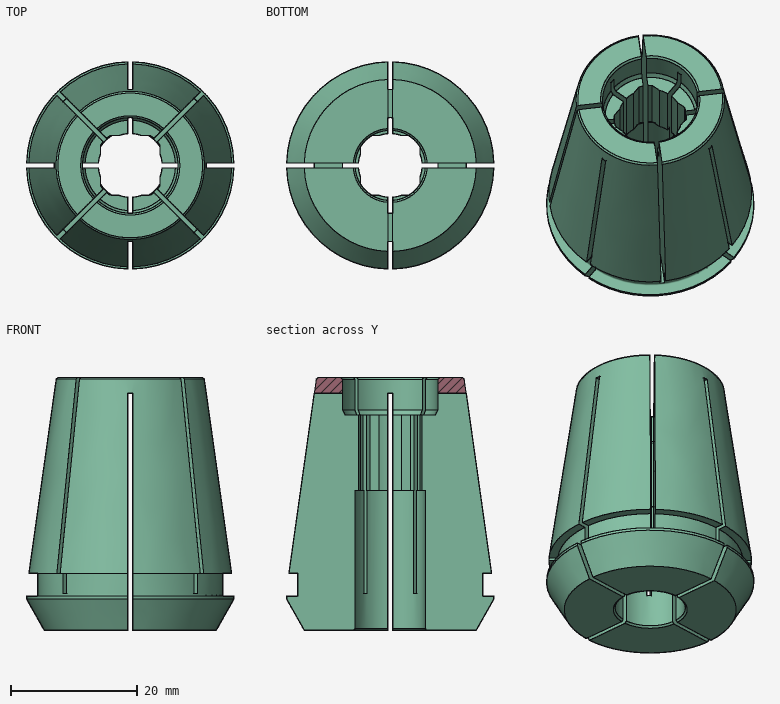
import cadquery as cq
import math

TOTAL_LENGTH = 40.0
COLLAR_RADIUS = 16.4
COLLAR_BEVEL_TOP = 4.95
BOTTOM_RADIUS = 13.6
COLLAR_TOP = 5.4
GROOVE_RADIUS = 14.65
GROOVE_TOP = 9.0
GROOVE_FILLET = 0.2
TAPER_LARGE_RADIUS = 16.05
TAPER_ANGLE = 8.0
TOP_CHAMFER = 0.25

MOUTH_CHAMFER = 0.3
SHANK_RADIUS = 5.55
RELIEF_RADIUS = 7.55
RELIEF_DEPTH = 5.9
RELIEF_FLOOR_RADIUS = 7.15
RELIEF_CONE_HEIGHT = 0.75

SQUARE_WIDTH = 9.4
SQUARE_LENGTH = 12.0
SQUARE_CORNER_RADIUS = 5.7
SQUARE_PILOT_RADIUS = 5.03

SLOT_WIDTH = 0.75
SLOT_END_WALL = 2.5
TOP_SLOT_FLOOR = 5.85

RELIEF_FLOOR = TOTAL_LENGTH - RELIEF_DEPTH
SQUARE_FLOOR = RELIEF_FLOOR - SQUARE_LENGTH
SLOT_CUT_LENGTH = 4 * COLLAR_RADIUS


def make_body():
    """Solid of revolution: bevelled collar, extraction groove and clamping taper."""
    taper_top_radius = TAPER_LARGE_RADIUS - (TOTAL_LENGTH - GROOVE_TOP) * math.tan(math.radians(TAPER_ANGLE))
    profile = (
        cq.Workplane("XZ")
        .moveTo(0, 0)
        .lineTo(BOTTOM_RADIUS, 0)
        .lineTo(COLLAR_RADIUS, COLLAR_BEVEL_TOP)
        .lineTo(COLLAR_RADIUS, COLLAR_TOP)
        .lineTo(GROOVE_RADIUS + GROOVE_FILLET, COLLAR_TOP)
        .radiusArc((GROOVE_RADIUS, COLLAR_TOP + GROOVE_FILLET), GROOVE_FILLET)
        .lineTo(GROOVE_RADIUS, GROOVE_TOP)
        .lineTo(TAPER_LARGE_RADIUS, GROOVE_TOP)
        .lineTo(taper_top_radius, TOTAL_LENGTH)
        .lineTo(0, TOTAL_LENGTH)
        .close()
    )
    body = profile.revolve(360, (0, 0, 0), (0, 1, 0))
    return body.faces(">Z").edges().chamfer(TOP_CHAMFER)


def make_relief():
    """Wide recess at the small end, with a chamfered mouth and a conical step at its floor."""
    profile = (
        cq.Workplane("XZ")
        .moveTo(0, RELIEF_FLOOR)
        .lineTo(RELIEF_FLOOR_RADIUS, RELIEF_FLOOR)
        .lineTo(RELIEF_RADIUS, RELIEF_FLOOR + RELIEF_CONE_HEIGHT)
        .lineTo(RELIEF_RADIUS, TOTAL_LENGTH - MOUTH_CHAMFER)
        .lineTo(RELIEF_RADIUS + MOUTH_CHAMFER, TOTAL_LENGTH)
        .lineTo(0, TOTAL_LENGTH)
        .close()
    )
    return profile.revolve(360, (0, 0, 0), (0, 1, 0))


def make_square_drive():
    """Square hole with round corners, widened at mid-side by its round pilot hole."""
    base = cq.Workplane("XY").workplane(offset=SQUARE_FLOOR)
    square = base.rect(SQUARE_WIDTH, SQUARE_WIDTH).extrude(SQUARE_LENGTH)
    corners = base.circle(SQUARE_CORNER_RADIUS).extrude(SQUARE_LENGTH)
    pilot = base.circle(SQUARE_PILOT_RADIUS).extrude(SQUARE_LENGTH)
    return square.intersect(corners).union(pilot)


def make_cross_slots(first_angle, z_low, z_high):
    """Two perpendicular slots across the whole part, between two heights."""
    slots = cq.Workplane("XY")
    for angle in (first_angle, first_angle + 90):
        slot = (
            cq.Workplane("XY")
            .workplane(offset=z_low)
            .rect(SLOT_CUT_LENGTH, SLOT_WIDTH)
            .extrude(z_high - z_low)
            .rotate((0, 0, 0), (0, 0, 1), angle)
        )
        slots = slots.add(slot)
    return slots.combine()


def make_shank_bore():
    """Round bore at the large end, chamfered at its mouth."""
    profile = (
        cq.Workplane("XZ")
        .moveTo(0, 0)
        .lineTo(SHANK_RADIUS + MOUTH_CHAMFER, 0)
        .lineTo(SHANK_RADIUS, MOUTH_CHAMFER)
        .lineTo(SHANK_RADIUS, SQUARE_FLOOR)
        .lineTo(0, SQUARE_FLOOR)
        .close()
    )
    return profile.revolve(360, (0, 0, 0), (0, 1, 0))


bottom_slots = make_cross_slots(0, 0, TOTAL_LENGTH - SLOT_END_WALL)
top_slots = make_cross_slots(45, TOP_SLOT_FLOOR, TOTAL_LENGTH)

result = make_body()
for cutter in (make_relief(), make_square_drive(), make_shank_bore(), bottom_slots, top_slots):
    result = result.cut(cutter)